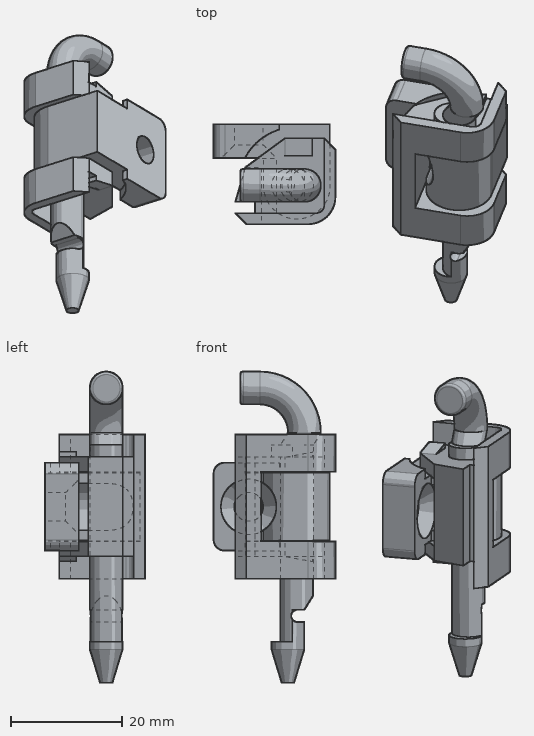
import cadquery as cq

BEYOND = 33.55

sheet_inner = 5.0
sheet_thickness = 2.0
sheet_outer = sheet_inner + sheet_thickness
sheet_left = -11.0
sheet_back = 8.45
sheet_outer_radius = 5.0
sheet_inner_radius = 1.5
bracket_height = 25.95
block_height = 17.85
block_nose_y = -2.95
block_step_x = -7.5
block_shoulder = (-9.25, 3.25)
ramp_left = -2.1
ramp_right = 2.8
ramp_front = 5.35
ramp_rise = 0.9
pocket_left = -6.4
pocket_height = 12.5

barrel_radius = 6.0
barrel_height = 12.2
plate_left = -14.95
plate_front = 4.9
plate_back = 11.0
plate_height = 15.85
plate_corner_radius = 2.0
swing_radius = 10.5
swing_flat_x = -3.15
screw_x = -8.6
screw_head_radius = 5.0
screw_hole_radius = 2.6
countersink_depth = screw_head_radius - screw_hole_radius

rod_radius = 2.95
shaft_radius = rod_radius
shaft_top = 11.1
handle_x = 1.4
handle_end_x = -10.1
handle_end_round = 0.5
handle_z = 21.3
bend_radius = 8.0
tip_x = -1.55
tip_right = tip_x + rod_radius
tip_top = -24.2
cone_top = -25.6
pin_bottom = -31.65
tip_end_radius = 1.1
relief_top = -16.0
slot_top = -18.5
slot_width = 2.2
slot_left = -0.95


def centred_prism(profile, height):
    """Extrude an XY profile by equal amounts above and below Z = 0."""
    return profile.extrude(height / 2, both=True)


def span_box(x0, x1, y0, y1, z0, z1):
    """Box between two limits along each axis."""
    return cq.Workplane("XY").box(x1 - x0, y1 - y0, z1 - z0, centered=False).translate((x0, y0, z0))


def disc(radius, x, bottom, top):
    """Vertical cylinder whose axis is at X = x, Y = 0."""
    return cq.Workplane("XY").workplane(offset=bottom).center(x, 0).circle(radius).extrude(top - bottom)


def make_angle_sheet():
    """L-shaped sheet with bevelled ends and a rounded corner."""
    profile = (
        cq.Workplane("XY")
        .moveTo(sheet_left, -sheet_inner)
        .lineTo(sheet_left + sheet_thickness, -sheet_outer)
        .lineTo(sheet_outer - sheet_outer_radius, -sheet_outer)
        .radiusArc((sheet_outer, sheet_outer_radius - sheet_outer), -sheet_outer_radius)
        .lineTo(sheet_outer, sheet_back - sheet_thickness)
        .lineTo(sheet_inner, sheet_back)
        .lineTo(sheet_inner, sheet_inner_radius - sheet_inner)
        .radiusArc((sheet_inner - sheet_inner_radius, -sheet_inner), sheet_inner_radius)
        .close()
    )
    return centred_prism(profile, bracket_height)


def make_block():
    """Block that fills the inside of the angle sheet."""
    profile = cq.Workplane("XY").polyline([
        (block_step_x, -sheet_inner),
        (sheet_inner, -sheet_inner),
        (sheet_inner, sheet_back),
        (ramp_left, sheet_back),
        block_shoulder,
        (sheet_left, block_nose_y),
        (block_step_x, block_nose_y),
    ]).close()
    return centred_prism(profile, block_height)


def make_ramp():
    """Wedge on top of the block, rising toward +X."""
    base_z = block_height / 2
    return (
        cq.Workplane("XZ", origin=(0, sheet_back, 0))
        .polyline([(ramp_left, base_z), (ramp_right, base_z), (ramp_right, base_z + ramp_rise)])
        .close()
        .extrude(sheet_back - ramp_front)
    )


def make_bracket():
    ramp = make_ramp()
    half_pocket = pocket_height / 2
    barrel_pocket = span_box(pocket_left, BEYOND, -BEYOND, BEYOND, -half_pocket, half_pocket)
    leaf_pocket = span_box(-BEYOND, BEYOND, block_shoulder[1], BEYOND, -half_pocket, half_pocket)
    return (
        make_angle_sheet()
        .union(make_block())
        .union(ramp)
        .union(ramp.mirror("XY"))
        .cut(barrel_pocket)
        .cut(leaf_pocket)
        .cut(disc(shaft_radius, 0, -BEYOND, BEYOND))
    )


def make_plate():
    """Mounting plate, lowered at both ends where the bracket swings past."""
    half_plate = plate_height / 2
    half_barrel = barrel_height / 2
    plate = span_box(plate_left, barrel_radius, plate_front, plate_back, -half_plate, half_plate)
    plate = plate.edges("|Y and <X").fillet(plate_corner_radius)
    for bottom, top in ((half_barrel, BEYOND), (-BEYOND, -half_barrel)):
        plate = plate.cut(disc(swing_radius, 0, bottom, top))
        plate = plate.cut(span_box(swing_flat_x, BEYOND, -BEYOND, BEYOND, bottom, top))
    return plate


def make_screw_cutter():
    """Head clearance, countersink and through hole along +Y."""
    return (
        cq.Workplane("XY")
        .polyline([
            (0, -BEYOND),
            (screw_head_radius, -BEYOND),
            (screw_head_radius, plate_front),
            (screw_hole_radius, plate_front + countersink_depth),
            (screw_hole_radius, BEYOND),
            (0, BEYOND),
        ])
        .close()
        .revolve(360, (0, 0, 0), (0, 1, 0))
        .translate((screw_x, 0, 0))
    )


def make_leaf():
    half_barrel = barrel_height / 2
    web = span_box(-barrel_radius, barrel_radius, 0, plate_back, -half_barrel, half_barrel)
    return (
        make_plate()
        .union(web)
        .union(disc(barrel_radius, 0, -half_barrel, half_barrel))
        .cut(make_screw_cutter())
        .cut(disc(shaft_radius, 0, -BEYOND, BEYOND))
    )


def make_handle():
    """Rod that leans off the shaft axis and then bends toward -X."""
    bend_x = handle_x - bend_radius
    bend_z = handle_z - bend_radius
    riser = (
        cq.Workplane("XY", origin=(0, 0, shaft_top))
        .circle(shaft_radius)
        .workplane(offset=bend_z - shaft_top)
        .center(handle_x, 0)
        .circle(rod_radius)
        .loft(ruled=True)
    )
    bend = (
        cq.Workplane("XY", origin=(handle_x, 0, bend_z))
        .circle(rod_radius)
        .revolve(90, (-bend_radius, 0, 0), (-bend_radius, -1, 0))
    )
    grip = (
        cq.Workplane("YZ", origin=(handle_end_x, 0, handle_z))
        .circle(rod_radius)
        .extrude(bend_x - handle_end_x)
        .faces("<X")
        .edges()
        .fillet(handle_end_round)
    )
    return riser.union(bend).union(grip)


def make_shaft():
    """Round shaft, tapered on its +X side down to the width of the tip."""
    upper = disc(shaft_radius, 0, slot_top, shaft_top)
    relief = (
        cq.Workplane("XZ")
        .polyline([(shaft_radius, relief_top), (tip_right, slot_top), (shaft_radius, slot_top)])
        .close()
        .extrude(shaft_radius, both=True)
    )
    lower = disc(shaft_radius, 0, tip_top, slot_top).intersect(disc(rod_radius, tip_x, tip_top, slot_top))
    return upper.cut(relief).union(lower)


def make_tip():
    """Short collar above a pointed end."""
    collar = disc(rod_radius, tip_x, cone_top, tip_top)
    cone = cq.Solid.makeCone(
        tip_end_radius, rod_radius, cone_top - pin_bottom, pnt=cq.Vector(tip_x, 0, pin_bottom)
    )
    return collar.union(cq.Workplane(obj=cone))


def make_slot_cutter():
    """Sideways slot with a round inner end, open toward +X."""
    slot_z = slot_top - slot_width / 2
    round_x = slot_left + slot_width / 2
    round_end = cq.Workplane("XZ").center(round_x, slot_z).circle(slot_width / 2).extrude(BEYOND, both=True)
    return round_end.union(span_box(round_x, BEYOND, -BEYOND, BEYOND, slot_top - slot_width, slot_top))


def make_stop_disc():
    """Disc in line with the tip that rests on top of the block."""
    return disc(rod_radius, tip_x, block_height / 2, shaft_top)


def make_pin():
    return make_shaft().union(make_stop_disc()).union(make_handle()).union(make_tip()).cut(make_slot_cutter())


bracket = make_bracket()
leaf = make_leaf()
pin = make_pin()
result = cq.Compound.makeCompound([bracket.val(), leaf.val(), pin.val()])